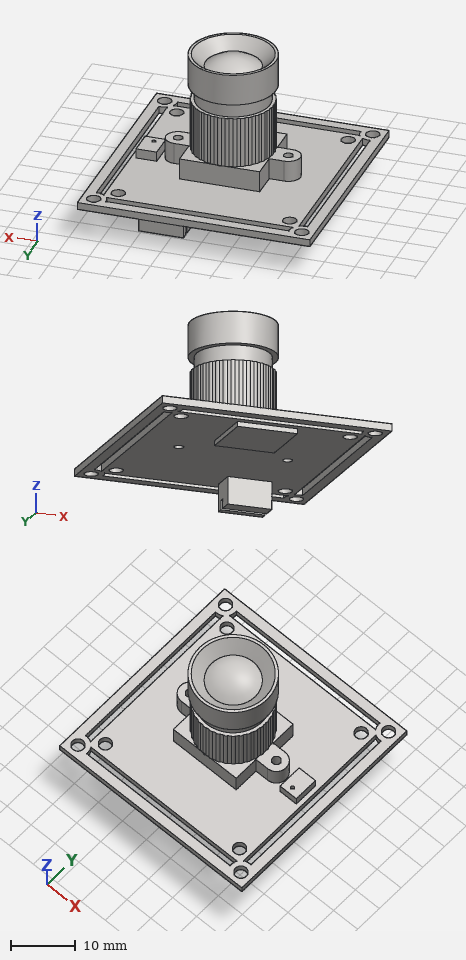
import cadquery as cq
import math


BOARD_SIDE = 38.0
BOARD_THICKNESS = 1.2
BOARD_HOLE_DIAMETER = 2.2
CORNER_HOLE_SPACING = 34.0
INNER_HOLE_SPACING = 28.0
SLOT_WIDTH = 1.3
SLOT_CENTRE_OFFSET = 16.6
CORNER_PAD_RADIUS = 2.05

HOLDER_SIDE = 13.1
HOLDER_HEIGHT = 3.5
LUG_SPACING = 18.0
LUG_WIDTH = 4.0
LUG_HOLE_DIAMETER = 1.5
TOWER_RADIUS = 6.6
TOWER_HEIGHT = 8.4
RIB_COUNT = 34
RIB_WIDTH = 0.66
RIB_PROJECTION = 0.1

NECK_DIAMETER = 12.1
NECK_HEIGHT = 2.6
HEAD_DIAMETER = 14.0
HEAD_HEIGHT = 5.2
HOOD_DIAMETER = 13.0
GLASS_DIAMETER = 9.0
HOOD_DEPTH = 2.0
GLASS_RISE = 1.6

MICROPHONE_SIZE = (3.4, 4.4, 1.6)
MICROPHONE_CENTRE = (13.45, 0.0)
SOUND_HOLE_CENTRE = (13.35, -1.1)
SOUND_HOLE_DIAMETER = 0.6
SOUND_HOLE_DEPTH = 0.8

CHIP_SIZE = (9.9, 10.0, 0.8)
CHIP_CENTRE = (0.0, -9.8)
CONNECTOR_SIZE = (7.3, 4.1, 4.5)
CONNECTOR_CENTRE = (6.8, 12.6)
KEYWAY_WIDTH = 0.7
KEYWAY_DEPTH = 1.5
KEYWAY_CENTRE_Y = 13.15
PEG_DIAMETER = 0.6
PEG_HEIGHT = 0.5

HOLDER_TOP = BOARD_THICKNESS + HOLDER_HEIGHT
TOWER_TOP = HOLDER_TOP + TOWER_HEIGHT
NECK_TOP = TOWER_TOP + NECK_HEIGHT
HEAD_TOP = NECK_TOP + HEAD_HEIGHT


def edge_slots():
    """Four slots along the board edges, ending in arcs around the corner holes."""
    slots = cq.Workplane("XY")
    for side in range(4):
        slot = (
            cq.Workplane("XY")
            .center(SLOT_CENTRE_OFFSET, 0)
            .rect(SLOT_WIDTH, CORNER_HOLE_SPACING)
            .extrude(BOARD_THICKNESS)
            .rotate((0, 0, 0), (0, 0, 1), 90 * side)
        )
        slots = slots.add(slot)
    corner_pads = (
        cq.Workplane("XY")
        .rect(CORNER_HOLE_SPACING, CORNER_HOLE_SPACING, forConstruction=True)
        .vertices()
        .circle(CORNER_PAD_RADIUS)
        .extrude(BOARD_THICKNESS)
    )
    return slots.combine().cut(corner_pads)


def lug_holes():
    """Two screw holes running through the holder lugs and the board."""
    return (
        cq.Workplane("XY")
        .pushPoints([(-LUG_SPACING / 2, 0), (LUG_SPACING / 2, 0)])
        .circle(LUG_HOLE_DIAMETER / 2)
        .extrude(HOLDER_TOP)
    )


def make_board():
    board = cq.Workplane("XY").rect(BOARD_SIDE, BOARD_SIDE).extrude(BOARD_THICKNESS)
    for spacing in (CORNER_HOLE_SPACING, INNER_HOLE_SPACING):
        holes = (
            cq.Workplane("XY")
            .rect(spacing, spacing, forConstruction=True)
            .vertices()
            .circle(BOARD_HOLE_DIAMETER / 2)
            .extrude(BOARD_THICKNESS)
        )
        board = board.cut(holes)
    return board.cut(edge_slots()).cut(lug_holes())


def ribbed_tower():
    """Round tower with convex grip ribs; plain lands separate the ribs and face +X and -X."""
    pitch = 2 * math.pi / RIB_COUNT
    half_rib = math.asin(RIB_WIDTH / 2 / TOWER_RADIUS)

    def rim_point(radius, angle):
        return (radius * math.cos(angle), radius * math.sin(angle))

    outline = cq.Workplane("XY", origin=(0, 0, HOLDER_TOP))
    outline = outline.moveTo(*rim_point(TOWER_RADIUS, half_rib - pitch / 2))
    for index in range(RIB_COUNT):
        land_middle = index * pitch
        rib_middle = land_middle + pitch / 2
        outline = outline.threePointArc(
            rim_point(TOWER_RADIUS, land_middle),
            rim_point(TOWER_RADIUS, rib_middle - half_rib),
        )
        outline = outline.threePointArc(
            rim_point(TOWER_RADIUS + RIB_PROJECTION, rib_middle),
            rim_point(TOWER_RADIUS, rib_middle + half_rib),
        )
    return outline.close().extrude(TOWER_HEIGHT)


def make_holder():
    base = cq.Workplane("XY", origin=(0, 0, BOARD_THICKNESS))
    block = base.rect(HOLDER_SIDE, HOLDER_SIDE).extrude(HOLDER_HEIGHT)
    lugs = base.slot2D(LUG_SPACING + LUG_WIDTH, LUG_WIDTH).extrude(HOLDER_HEIGHT)
    return block.union(lugs).cut(lug_holes()).union(ribbed_tower())


def make_lens():
    """Neck and head turned about Z, with a conical hood around a domed glass."""
    glass_edge = HEAD_TOP - HOOD_DEPTH
    glass_top = glass_edge + GLASS_RISE
    glass_radius = GLASS_DIAMETER / 2
    sphere_radius = (glass_radius**2 + GLASS_RISE**2) / (2 * GLASS_RISE)
    mid_radius = glass_radius / 2
    mid_height = glass_top - sphere_radius + math.sqrt(sphere_radius**2 - mid_radius**2)
    return (
        cq.Workplane("XZ")
        .moveTo(0, TOWER_TOP)
        .lineTo(-NECK_DIAMETER / 2, TOWER_TOP)
        .lineTo(-NECK_DIAMETER / 2, NECK_TOP)
        .lineTo(-HEAD_DIAMETER / 2, NECK_TOP)
        .lineTo(-HEAD_DIAMETER / 2, HEAD_TOP)
        .lineTo(-HOOD_DIAMETER / 2, HEAD_TOP)
        .lineTo(-glass_radius, glass_edge)
        .threePointArc((-mid_radius, mid_height), (0, glass_top))
        .close()
        .revolve(360, (0, 0, 0), (0, 1, 0))
    )


def make_microphone():
    length, width, height = MICROPHONE_SIZE
    top = BOARD_THICKNESS + height
    body = (
        cq.Workplane("XY", origin=(0, 0, BOARD_THICKNESS))
        .center(*MICROPHONE_CENTRE)
        .rect(length, width)
        .extrude(height)
    )
    sound_hole = (
        cq.Workplane("XY", origin=(0, 0, top))
        .center(*SOUND_HOLE_CENTRE)
        .circle(SOUND_HOLE_DIAMETER / 2)
        .extrude(-SOUND_HOLE_DEPTH)
    )
    return body.cut(sound_hole)


def make_chip():
    length, width, height = CHIP_SIZE
    return cq.Workplane("XY").center(*CHIP_CENTRE).rect(length, width).extrude(-height)


def make_connector():
    """Block with a keyway along its lower face and a short peg on the keyway's roof."""
    length, width, height = CONNECTOR_SIZE
    centre_x = CONNECTOR_CENTRE[0]
    keyway_roof = KEYWAY_DEPTH - height
    body = cq.Workplane("XY").center(*CONNECTOR_CENTRE).rect(length, width).extrude(-height)
    keyway = (
        cq.Workplane("XY", origin=(centre_x, KEYWAY_CENTRE_Y, keyway_roof))
        .rect(length, KEYWAY_WIDTH)
        .extrude(-KEYWAY_DEPTH)
    )
    peg = (
        cq.Workplane("XY", origin=(centre_x, KEYWAY_CENTRE_Y, keyway_roof))
        .circle(PEG_DIAMETER / 2)
        .extrude(-PEG_HEIGHT)
    )
    return body.cut(keyway).union(peg)


board = make_board()
holder = make_holder()
lens = make_lens()
microphone = make_microphone()
chip = make_chip()
connector = make_connector()

bodies = (board, holder, lens, microphone, chip, connector)
result = cq.Compound.makeCompound([body.val() for body in bodies])